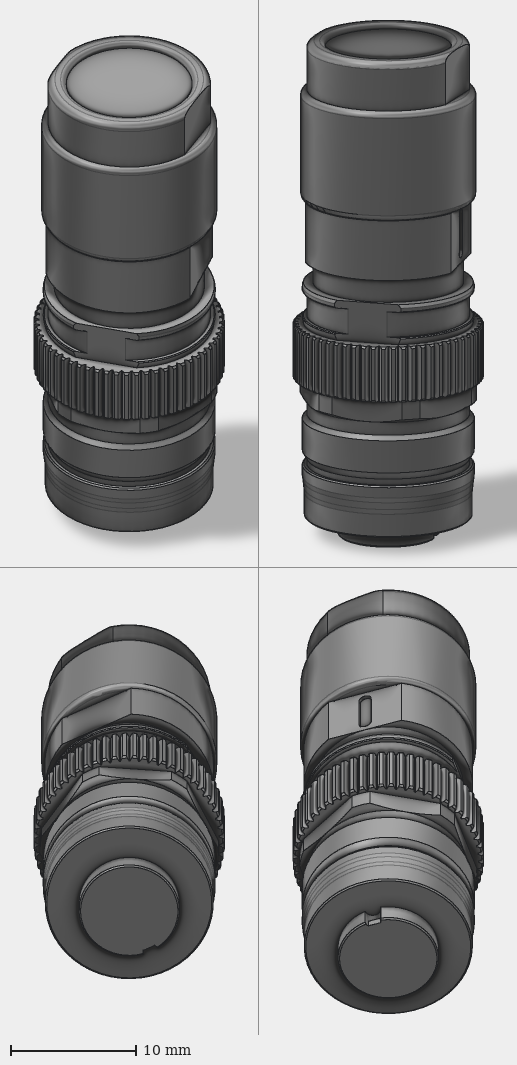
import cadquery as cq
import math

total_height = 40.85
sleeve_bottom = 1.55
skirt_top = 3.5
shallow_bottom = 3.92
shallow_top = 4.5
lower_band_bottom = 4.9
lower_band_top = 5.9
sleeve_groove_top = 6.37
upper_band_bottom = 7.0
upper_band_top = 9.65
nut_bottom = 11.05
knurl_bottom = 13.0
knurl_top = 17.55
ring_groove_bottom = 18.15
ring_groove_top = 20.22
ring_shoulder = 20.6
ring_top = 20.87
neck_bottom = 22.88
collar_bottom = 27.8
collar_top = 36.85

insert_radius = 4.0
sleeve_radius = 6.7
band_radius = 6.85
band_lip = 0.12
sleeve_chamfer = 0.12
ring_lip = 0.1
groove_radius = 6.5
nut_corner_radius = 7.1
knurl_radius = 7.6
knurl_root_radius = 7.2
stem_radius = 6.0
neck_radius = 6.75
collar_radius = 7.0
cap_radius = 6.5

edge_round = 0.5
rim_round = 0.57
insert_chamfer = 0.12
recess_radius = 5.02
recess_round = 0.45

nut_flat = 6.5
nut_turn = 30.0
nut_chamfer_angle = 30.0
ring_flat = 6.3
neck_flat = 6.0
cap_flat = 6.0
cap_flat_turn = -8.0

tooth_count = 59
tooth_tip_width = 0.3
tooth_gap_width = 0.1
knurl_chamfer = 0.15

slot_length = 4.05
slot_width = 1.02
slot_depth = 0.25
slot_taper = 10.0

keyway_radius = 0.65
stop_height = 0.6
stop_depth = 0.4


def turned(profile):
    """Revolve (radius, z) points about the Z axis."""
    points = [(0, profile[0][1])] + profile + [(0, profile[-1][1])]
    return cq.Workplane("XZ").polyline(points).close().revolve(360, (0, 0, 0), (0, 1, 0))


def cylinder(radius, bottom, top):
    return cq.Workplane("XY").workplane(offset=bottom).circle(radius).extrude(top - bottom)


def flatted(solid, flat_distance, bottom, top, angle):
    """Trim a solid to two parallel flats whose normal lies at the given angle from X."""
    length = 2 * knurl_radius
    slab = (
        cq.Workplane("XY")
        .box(2 * flat_distance, length, top - bottom, centered=(True, True, False))
        .rotate((0, 0, 0), (0, 0, 1), angle)
        .translate((0, 0, bottom))
    )
    return solid.intersect(slab)


def make_insert():
    insert = cylinder(insert_radius, 0, sleeve_bottom).faces("<Z").chamfer(insert_chamfer)
    groove = (
        cq.Workplane("XY")
        .center(-insert_radius, 0)
        .circle(keyway_radius)
        .extrude(sleeve_bottom)
    )
    stop = (
        cq.Workplane("XY")
        .box(keyway_radius, 2 * keyway_radius, stop_height, centered=(False, True, False))
        .translate((stop_depth - insert_radius, 0, 0))
    )
    return insert.cut(groove.cut(stop))


def make_sleeve():
    shallow_radius = band_radius - band_lip
    return turned([
        (sleeve_radius - sleeve_chamfer, sleeve_bottom),
        (sleeve_radius, sleeve_bottom + sleeve_chamfer),
        (sleeve_radius, skirt_top),
        (shallow_radius, shallow_bottom),
        (shallow_radius + band_lip / 2, shallow_top),
        (band_radius, lower_band_bottom),
        (band_radius, lower_band_top - sleeve_chamfer),
        (band_radius - sleeve_chamfer, lower_band_top),
        (groove_radius, lower_band_top),
        (groove_radius, sleeve_groove_top),
        (band_radius, upper_band_bottom),
        (band_radius, upper_band_top),
        (groove_radius, upper_band_top + band_radius - groove_radius),
        (groove_radius, nut_bottom),
    ])


def make_nut():
    chamfer_height = (nut_corner_radius - nut_flat) * math.tan(math.radians(nut_chamfer_angle))
    blank = turned([
        (nut_flat, nut_bottom),
        (nut_corner_radius, nut_bottom + chamfer_height),
        (nut_corner_radius, knurl_bottom),
    ])
    hexagon = (
        cq.Workplane("XY")
        .workplane(offset=nut_bottom)
        .transformed(rotate=(0, 0, nut_turn))
        .polygon(6, 2 * nut_flat, circumscribed=True)
        .extrude(knurl_bottom - nut_bottom)
    )
    return blank.intersect(hexagon)


def make_knurl():
    pitch = 2 * math.pi / tooth_count
    half_tip = tooth_tip_width / (2 * knurl_radius)
    half_root = pitch / 2 - tooth_gap_width / (2 * knurl_root_radius)
    first_tooth = math.pi / 2
    outline = []
    for tooth in range(tooth_count):
        middle = first_tooth + tooth * pitch
        corners = [
            (knurl_root_radius, -half_root),
            (knurl_radius, -half_tip),
            (knurl_radius, half_tip),
            (knurl_root_radius, half_root),
        ]
        for radius, offset in corners:
            outline.append((radius * math.cos(middle + offset), radius * math.sin(middle + offset)))
    toothed = (
        cq.Workplane("XY")
        .workplane(offset=knurl_bottom)
        .polyline(outline)
        .close()
        .extrude(knurl_top - knurl_bottom)
    )
    envelope = cylinder(knurl_radius, knurl_bottom, knurl_top).edges().chamfer(knurl_chamfer)
    return toothed.intersect(envelope)


def make_ring():
    edge_radius = band_radius - ring_lip
    ring = turned([
        (edge_radius, knurl_top),
        (band_radius, ring_groove_bottom - ring_lip),
        (edge_radius, ring_groove_bottom),
        (groove_radius, ring_groove_bottom),
        (groove_radius, ring_groove_top),
        (edge_radius, ring_groove_top),
        (band_radius, ring_groove_top + ring_lip),
        (band_radius, ring_shoulder),
        (edge_radius, ring_top),
    ])
    return flatted(ring, ring_flat, knurl_top, ring_top, 90)


def make_neck():
    neck = cylinder(neck_radius, neck_bottom, collar_bottom)
    neck = flatted(neck, neck_flat, neck_bottom, collar_bottom, 0)
    slot = (
        cq.Workplane("YZ")
        .workplane(offset=-neck_flat)
        .center(0, (neck_bottom + collar_bottom) / 2)
        .slot2D(slot_length, slot_width, 90)
        .extrude(slot_depth, taper=slot_taper)
    )
    return neck.cut(slot)


def make_cap():
    diagonal = math.sqrt(0.5)
    rim_middle = (
        cap_radius - rim_round * (1 - diagonal),
        total_height - rim_round * (1 - diagonal),
    )
    recess_middle = (
        recess_radius + recess_round * (1 - diagonal),
        total_height - recess_round * (1 - diagonal),
    )
    floor = total_height - recess_round
    cap = (
        cq.Workplane("XZ")
        .moveTo(0, collar_top)
        .lineTo(cap_radius, collar_top)
        .lineTo(cap_radius, total_height - rim_round)
        .threePointArc(rim_middle, (cap_radius - rim_round, total_height))
        .lineTo(recess_radius + recess_round, total_height)
        .threePointArc(recess_middle, (recess_radius, floor))
        .lineTo(0, floor)
        .close()
        .revolve(360, (0, 0, 0), (0, 1, 0))
    )
    return flatted(cap, cap_flat, collar_top, total_height, cap_flat_turn)


stem = cylinder(stem_radius, ring_top, neck_bottom)
collar = cylinder(collar_radius, collar_bottom, collar_top).edges().fillet(edge_round)

result = (
    make_insert()
    .union(make_sleeve())
    .union(make_nut())
    .union(make_knurl())
    .union(make_ring())
    .union(stem)
    .union(make_neck())
    .union(collar)
    .union(make_cap())
)